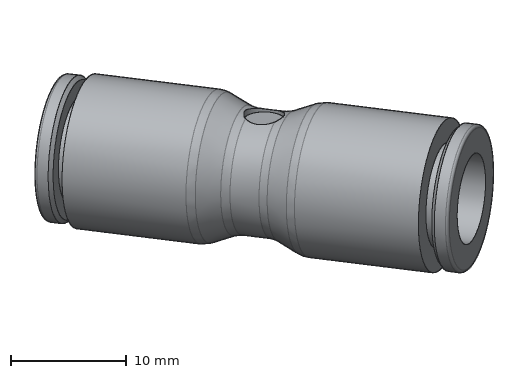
import cadquery as cq

length = 37.6
body_radius = 6.75
bore_radius = 4.0

body_end_inset = 2.65
waist_radius = 5.547
waist_half_width = 1.73
taper_half_width = 4.5
taper_blend_radius = 2.0

collar_radius = 6.47
collar_length = 1.6
collar_chamfer = 0.35
collar_round = 0.25
stem_radius = 4.63

recess_radius = 1.75
recess_floor = 5.0

half_length = length / 2
body_half_length = half_length - body_end_inset


def x_cylinder(radius, x_start, x_end):
    """Cylinder about the X axis between two X positions."""
    return cq.Workplane("YZ").workplane(offset=x_start).circle(radius).extrude(x_end - x_start)


def make_body():
    """Solid body with a waist whose four taper corners are blended."""
    profile = [
        (-body_half_length, 0),
        (-body_half_length, body_radius),
        (-taper_half_width, body_radius),
        (-waist_half_width, waist_radius),
        (waist_half_width, waist_radius),
        (taper_half_width, body_radius),
        (body_half_length, body_radius),
        (body_half_length, 0),
    ]
    body = cq.Workplane("XZ").polyline(profile).close().revolve(360, (0, 0, 0), (1, 0, 0))
    zone_half_length = (taper_half_width + body_half_length) / 2
    waist_zone = cq.selectors.BoxSelector(
        (-zone_half_length, -body_radius, -body_radius),
        (zone_half_length, body_radius, body_radius),
    )
    return body.edges("%CIRCLE").edges(waist_zone).fillet(taper_blend_radius)


def make_left_collar():
    """Flanged collar at the -X end, with the stem that joins it to the body."""
    flange_end = -half_length + collar_length
    flange = x_cylinder(collar_radius, -half_length, flange_end)
    flange = flange.faces("<X").edges().fillet(collar_round)
    flange = flange.faces(">X").edges().chamfer(collar_chamfer)
    stem = x_cylinder(stem_radius, flange_end, -body_half_length)
    return flange.union(stem)


left_collar = make_left_collar()
right_collar = left_collar.mirror("YZ")

recess = (
    cq.Workplane("XY")
    .workplane(offset=recess_floor)
    .circle(recess_radius)
    .extrude(body_radius - recess_floor)
)

result = (
    make_body()
    .union(left_collar)
    .union(right_collar)
    .cut(recess)
    .cut(x_cylinder(bore_radius, -half_length, half_length))
)